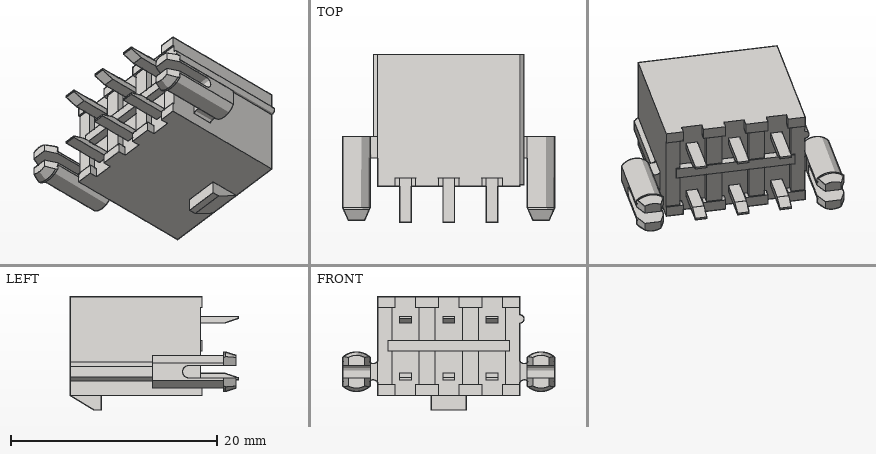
import cadquery as cq


body_width = 13.8
body_depth = 12.8
body_height = 9.6

columns = 3
pitch = 4.2
row_spacing = 5.5
lower_row_z = 1.86
upper_row_z = lower_row_z + row_spacing
pin_width = 1.14
pin_thickness = 0.64
pin_reach = 3.5
pin_taper = 1.3
pin_tip_thickness = 0.2

channel_width = 2.65
channel_depth = 0.8
notch_width = 2.0
lip_height = 1.06
rib_recess = 0.15
bar_width = 11.8
bar_height = 1.04
bar_centre_z = 4.83

latch_width = 3.44
latch_length = 3.03
latch_drop = 1.4
latch_tip_length = 0.72

overall_width = 20.58
peg_width = 2.68
peg_radius = 1.59
peg_back_y = 4.84
peg_reach = 3.3
peg_z = 2.32
peg_x = (overall_width - peg_width) / 2
barb_radius = 1.925
barb_length = 1.23
barb_land = 0.2
barb_tip_width = 1.58
slot_width = 1.2
slot_end_y = 1.9

arm_depth = 2.1
arm_waist_height = 1.6
arm_body_height = 2.05
arm_peg_height = 1.75
arm_waist_position = 0.55

rail_height = 1.84
rail_tip_height = 1.0
rail_projection = 0.41
bead_radius = 0.41
bead_z = 7.44

column_x = [(i - (columns - 1) / 2) * pitch for i in range(columns)]
peg_length = peg_back_y + peg_reach
half_body = body_width / 2


def block(x_centre, width, y_min, y_max, z_min, z_max):
    """Box centred on x_centre, given by its Y and Z limits."""
    size = (width, y_max - y_min, z_max - z_min)
    return cq.Workplane("XY").box(*size, centered=(True, False, False)).translate((x_centre, y_min, z_min))


def xz_plane(y):
    """Sketch plane facing -Y, so that extrusions run toward -Y."""
    return cq.Workplane("XZ", origin=(0, y, 0))


def make_housing():
    """Block with stand-off lips, recessed ribs, column channels and a cross bar."""
    housing = block(0, body_width, 0, body_depth, 0, body_height)
    lip_top = body_height - lip_height
    housing = housing.cut(block(0, body_width, 0, rib_recess, lip_height, lip_top))
    for x in column_x:
        housing = housing.cut(block(x, channel_width, 0, channel_depth, lip_height, lip_top))
        housing = housing.cut(block(x, notch_width, 0, channel_depth, 0, body_height))
    bar_bottom = bar_centre_z - bar_height / 2
    bar = block(0, bar_width, 0, channel_depth, bar_bottom, bar_bottom + bar_height)
    return housing.union(bar)


def make_pin(x, z, slope_side):
    """Flat contact tail; slope_side is +1 if its tip slopes on the top, -1 if on the bottom."""
    flat_z = z - slope_side * pin_thickness / 2
    sloped_z = z + slope_side * pin_thickness / 2
    tip_z = flat_z + slope_side * pin_tip_thickness
    outline = [
        (channel_depth, flat_z),
        (-pin_reach, flat_z),
        (-pin_reach, tip_z),
        (pin_taper - pin_reach, sloped_z),
        (channel_depth, sloped_z),
    ]
    return cq.Workplane("YZ", origin=(x, 0, 0)).polyline(outline).close().extrude(pin_width / 2, both=True)


def make_latch():
    """Ramp below the housing, rising toward the +Y side."""
    front_y = body_depth - latch_length
    outline = [
        (body_depth, 0),
        (front_y + latch_tip_length, -latch_drop),
        (front_y, -latch_drop),
        (front_y, 0),
    ]
    return cq.Workplane("YZ").polyline(outline).close().extrude(latch_width / 2, both=True)


def make_peg():
    """Slotted peg at +X: a flat-sided cylinder with a tapered barb at its -Y end."""
    barb_y = barb_length - peg_reach
    cone_y = barb_y - barb_land
    profile = [
        (0, peg_back_y),
        (peg_radius, peg_back_y),
        (peg_radius, barb_y),
        (barb_radius, barb_y),
        (barb_radius, cone_y),
        (peg_radius, -peg_reach),
        (0, -peg_reach),
    ]
    turned = cq.Workplane("XY").polyline(profile).close().revolve(360, (0, 0, 0), (0, 1, 0))
    plan = [
        (-peg_width / 2, peg_back_y),
        (peg_width / 2, peg_back_y),
        (peg_width / 2, barb_y),
        (barb_tip_width / 2, -peg_reach),
        (-barb_tip_width / 2, -peg_reach),
        (-peg_width / 2, barb_y),
    ]
    flats = cq.Workplane("XY").polyline(plan).close().extrude(barb_radius, both=True)
    slot_round_y = slot_end_y - slot_width / 2
    slot = block(0, peg_width, -peg_reach, slot_round_y, -slot_width / 2, slot_width / 2)
    slot_round = (
        cq.Workplane("YZ").center(slot_round_y, 0).circle(slot_width / 2).extrude(peg_width / 2, both=True)
    )
    return turned.intersect(flats).cut(slot).cut(slot_round).translate((peg_x, 0, peg_z))


def make_arm():
    """Arm from the +X side of the housing to its peg, concave above and below."""
    peg_side_x = peg_x - peg_width / 2
    waist_x = half_body + arm_waist_position * (peg_side_x - half_body)
    body_half = arm_body_height / 2
    waist_half = arm_waist_height / 2
    peg_half = arm_peg_height / 2
    return (
        xz_plane(peg_back_y)
        .moveTo(half_body, peg_z - body_half)
        .threePointArc((waist_x, peg_z - waist_half), (peg_side_x, peg_z - peg_half))
        .lineTo(peg_side_x, peg_z + peg_half)
        .threePointArc((waist_x, peg_z + waist_half), (half_body, peg_z + body_half))
        .close()
        .extrude(arm_depth)
    )


def make_side_rail():
    """Trapezoidal rail on the -X side, from the +Y side to the back of the peg."""
    tip_x = -half_body - rail_projection
    outline = [
        (-half_body, peg_z - rail_height / 2),
        (tip_x, peg_z - rail_tip_height / 2),
        (tip_x, peg_z + rail_tip_height / 2),
        (-half_body, peg_z + rail_height / 2),
    ]
    return xz_plane(body_depth).polyline(outline).close().extrude(body_depth - peg_back_y)


def make_bead():
    """Half-round bead on the +X side, as long as the housing behind the recessed ribs."""
    bead = xz_plane(body_depth).center(half_body, bead_z).circle(bead_radius)
    return bead.extrude(body_depth - rib_recess)


result = make_housing()
for x in column_x:
    result = result.union(make_pin(x, upper_row_z, -1))
    result = result.union(make_pin(x, lower_row_z, 1))
result = result.union(make_latch())

board_lock = make_arm().union(make_peg())
result = result.union(board_lock).union(board_lock.mirror("YZ"))

result = result.union(make_side_rail()).union(make_bead())